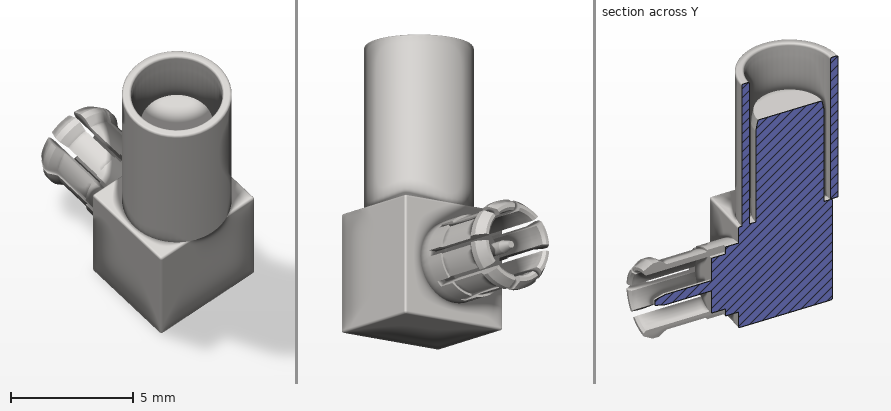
import cadquery as cq


block_width = 5.0
block_length = 4.39
block_left = -2.4
block_edge_radius = 0.1

overall_height = 12.02
sleeve_radius = 2.25
sleeve_bore_radius = 1.88
sleeve_rim_radius = 0.1
sleeve_bottom = block_width / 2
sleeve_top = overall_height - block_width / 2

stem_radius = 1.6
stem_end_radius = 1.49
stem_recess = 2.01
stem_taper_length = 0.5
stem_end = sleeve_top - stem_recess

overall_length = 8.95
plug_tip = sleeve_radius - overall_length
tip_radius = 1.62
bulge_radius = 1.86
barrel_radius = 1.62
collar_radius = 1.72
bulge_start = plug_tip + 0.42
bulge_end = bulge_start + 0.29
barrel_start = bulge_end + 0.35
collar_start = -3.76

socket_radius = 1.37
socket_floor = -3.65
socket_lead_in = 0.11
slot_count = 8
slot_width = 0.26
slot_end = -2.99
pin_radius = 0.26
pin_end_radius = 0.15
pin_tip = -6.27
pin_taper_length = 0.49


def revolve_about_x(profile):
    """Turn a closed (x, radius) outline about the plug axis."""
    return cq.Workplane("XY").polyline(profile).close().revolve(360, (0, 0, 0), (1, 0, 0))


def make_block():
    block = cq.Workplane("XY").box(block_length, block_width, block_width)
    return block.edges().fillet(block_edge_radius).translate((block_left + block_length / 2, 0, 0))


def make_sleeve():
    sleeve = (
        cq.Workplane("XY")
        .workplane(offset=sleeve_bottom)
        .circle(sleeve_radius)
        .circle(sleeve_bore_radius)
        .extrude(sleeve_top - sleeve_bottom)
    )
    return sleeve.faces(">Z").edges().fillet(sleeve_rim_radius)


def make_stem():
    return (
        cq.Workplane("XZ")
        .polyline([
            (0, sleeve_bottom),
            (stem_radius, sleeve_bottom),
            (stem_radius, stem_end - stem_taper_length),
            (stem_end_radius, stem_end),
            (0, stem_end),
        ])
        .close()
        .revolve(360, (0, 0, 0), (0, 1, 0))
    )


def make_barrel():
    return revolve_about_x([
        (plug_tip, 0),
        (plug_tip, tip_radius),
        (bulge_start, bulge_radius),
        (bulge_end, bulge_radius),
        (barrel_start, barrel_radius),
        (collar_start, barrel_radius),
        (collar_start, collar_radius),
        (block_left, collar_radius),
        (block_left, 0),
    ])


def make_socket():
    return revolve_about_x([
        (plug_tip, 0),
        (plug_tip, socket_radius + socket_lead_in),
        (plug_tip + socket_lead_in, socket_radius),
        (socket_floor, socket_radius),
        (socket_floor, 0),
    ])


def make_slots():
    """Slots through the barrel wall, leaving the solid core behind the socket."""
    length = slot_end - plug_tip
    slots = cq.Workplane("XY")
    for index in range(slot_count):
        slot = (
            cq.Workplane("XY")
            .box(length, slot_width, bulge_radius, centered=(False, True, False))
            .translate((plug_tip, 0, 0))
            .rotate((0, 0, 0), (1, 0, 0), index * 360 / slot_count)
        )
        slots = slots.union(slot)
    core = cq.Workplane("YZ").workplane(offset=plug_tip).circle(socket_radius).extrude(length)
    return slots.cut(core)


def make_pin():
    return revolve_about_x([
        (pin_tip, 0),
        (pin_tip, pin_end_radius),
        (pin_tip + pin_taper_length, pin_radius),
        (block_left, pin_radius),
        (block_left, 0),
    ])


plug = make_barrel().cut(make_socket()).cut(make_slots()).union(make_pin())
result = make_block().union(make_sleeve()).union(make_stem()).union(plug)